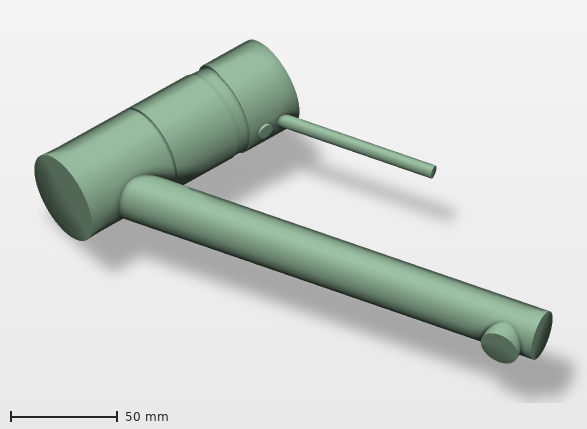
import cadquery as cq
import math

overall_length = 233.2

body_radius = 22.2
foot_radius = 22.6
foot_height = 9.8
groove_bottom = 49.2
groove_width = 1.5
groove_depth = 1.0
shoulder_height = 85.5
shoulder_chamfer_height = 1.5
neck_radius = 21.7
neck_lean = 1.0

cap_radius = foot_radius
cap_bottom = 92.8
cap_top = 121.7
underside_rise = 3.3
button_radius = 4.0
button_height = 101.2
button_projection = 1.2

arm_angle = 28.0
spout_diameter = 24.0
spout_radius = spout_diameter / 2
spout_start_height = 17.7
outlet_radius = 9.5
outlet_end_distance = 14.7
outlet_reach = 15.9
lever_radius = 3.3
lever_start_height = 100.0
lever_length = 103.5

UP = cq.Vector(0, 1, 0)
slope = math.radians(arm_angle)
spout_length = (overall_length - cap_radius - spout_radius * math.sin(slope)) / math.cos(slope)
arm_direction = cq.Vector(math.cos(slope), math.sin(slope), 0)
outlet_direction = cq.Vector(math.sin(slope), -math.cos(slope), 0)


def rod(radius, length, start, direction):
    """Round bar from a start point along a direction."""
    return cq.Workplane(obj=cq.Solid.makeCylinder(radius, length, start, direction))


def cap_blank():
    """Cap cylinder with an underside that is flat on +X and climbs towards -X."""
    side_profile = (
        cq.Workplane("XY")
        .moveTo(cap_radius, cap_bottom)
        .lineTo(0, cap_bottom)
        .lineTo(-cap_radius, cap_bottom + underside_rise)
        .lineTo(-cap_radius, cap_top)
        .lineTo(cap_radius, cap_top)
        .close()
        .extrude(cap_radius, both=True)
    )
    return rod(cap_radius, cap_top, cq.Vector(0, 0, 0), UP).intersect(side_profile)


def make_column():
    """Turned lower column with a flared foot, a groove and a chamfered shoulder."""
    groove_radius = body_radius - groove_depth
    groove_top = groove_bottom + groove_width
    return (
        cq.Workplane("XY")
        .moveTo(0, 0)
        .lineTo(foot_radius, 0)
        .lineTo(body_radius, foot_height)
        .lineTo(body_radius, groove_bottom)
        .lineTo(groove_radius, groove_bottom)
        .lineTo(groove_radius, groove_top)
        .lineTo(body_radius, groove_top)
        .lineTo(body_radius, shoulder_height)
        .lineTo(neck_radius, shoulder_height + shoulder_chamfer_height)
        .lineTo(0, shoulder_height + shoulder_chamfer_height)
        .close()
        .revolve(360, (0, 0, 0), (0, 1, 0))
    )


def make_neck():
    """Neck that reaches up to the cap underside and leans away from it on -X."""
    neck_bottom = shoulder_height + shoulder_chamfer_height
    neck_top = cap_bottom + underside_rise
    neck_height = neck_top - neck_bottom
    start = cq.Vector(0, neck_bottom, 0)
    lower_rim = cq.Wire.makeCircle(neck_radius, start, UP)
    upper_rim = cq.Wire.makeCircle(neck_radius, cq.Vector(neck_lean, neck_top, 0), UP)
    leaning = cq.Workplane(obj=cq.Solid.makeLoft([lower_rim, upper_rim], True))
    return rod(neck_radius, neck_height, start, UP).intersect(leaning).cut(cap_blank())


def make_spout():
    """Sloping spout with a round outlet below its far end."""
    start = cq.Vector(0, spout_start_height, 0)
    outlet_start = start + arm_direction * (spout_length - outlet_end_distance)
    tube = rod(spout_radius, spout_length, start, arm_direction)
    outlet = rod(outlet_radius, outlet_reach, outlet_start, outlet_direction)
    return tube.union(outlet)


def make_housing():
    return make_column().union(make_neck()).union(make_spout())


def make_handle():
    """Cap with its lever and a small round button on the +X side."""
    lever = rod(lever_radius, lever_length, cq.Vector(0, lever_start_height, 0), arm_direction)
    button = rod(
        button_radius,
        cap_radius + button_projection,
        cq.Vector(0, button_height, 0),
        cq.Vector(1, 0, 0),
    )
    return cap_blank().union(lever).union(button)


housing = make_housing()
handle = make_handle()

result = cq.Compound.makeCompound([housing.val(), handle.val()])